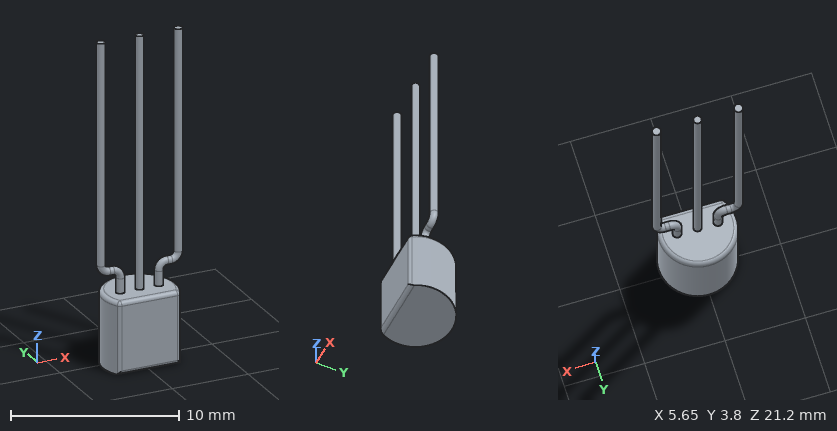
import cadquery as cq
import math

total_height = 21.15
lead_span = 5.65

housing_diameter = 4.85
housing_depth = 3.8
housing_height = 4.75
edge_radius = 0.28

middle_lead_diameter = 0.5
side_lead_diameter = 0.55
side_lead_root_x = 1.27
bend_start_z = 5.71
bend_radius = 0.5

housing_radius = housing_diameter / 2
flat_y = housing_radius - housing_depth
flat_half_width = math.sqrt(housing_radius**2 - flat_y**2)
side_lead_tip_x = (lead_span - side_lead_diameter) / 2
jog_z = bend_start_z + bend_radius
bend_end_z = jog_z + bend_radius


def make_housing():
    """Housing and the straight middle lead, which form one body."""
    housing = (
        cq.Workplane("XY")
        .moveTo(-flat_half_width, flat_y)
        .threePointArc((0, housing_radius), (flat_half_width, flat_y))
        .close()
        .extrude(housing_height)
    )
    housing = housing.edges(cq.selectors.SumSelector(
        cq.StringSyntaxSelector(">Z"),
        cq.selectors.BoxSelector(
            (-housing_radius, flat_y - edge_radius, -edge_radius),
            (housing_radius, flat_y + edge_radius, housing_height + edge_radius),
        ),
    )).fillet(edge_radius)
    middle_lead = (
        cq.Workplane("XY")
        .workplane(offset=housing_height)
        .circle(middle_lead_diameter / 2)
        .extrude(total_height - housing_height)
    )
    return housing.union(middle_lead)


def make_side_lead(side):
    """Lead that jogs outward in two quarter bends; side is -1 (left) or +1 (right)."""
    bend_mid_offset = bend_radius * math.sqrt(0.5)
    lower_bend_center_x = side_lead_root_x + bend_radius
    upper_bend_center_x = side_lead_tip_x - bend_radius
    path = (
        cq.Workplane("XZ")
        .moveTo(side * side_lead_root_x, housing_height)
        .lineTo(side * side_lead_root_x, bend_start_z)
        .threePointArc(
            (side * (lower_bend_center_x - bend_mid_offset), bend_start_z + bend_mid_offset),
            (side * lower_bend_center_x, jog_z),
        )
        .lineTo(side * upper_bend_center_x, jog_z)
        .threePointArc(
            (side * (upper_bend_center_x + bend_mid_offset), bend_end_z - bend_mid_offset),
            (side * side_lead_tip_x, bend_end_z),
        )
        .lineTo(side * side_lead_tip_x, total_height)
    )
    return (
        cq.Workplane("XY")
        .workplane(offset=housing_height)
        .center(side * side_lead_root_x, 0)
        .circle(side_lead_diameter / 2)
        .sweep(path)
    )


housing = make_housing()
side_leads = [make_side_lead(side) for side in (-1, 1)]

result = cq.Compound.makeCompound([housing.val(), *[lead.val() for lead in side_leads]])